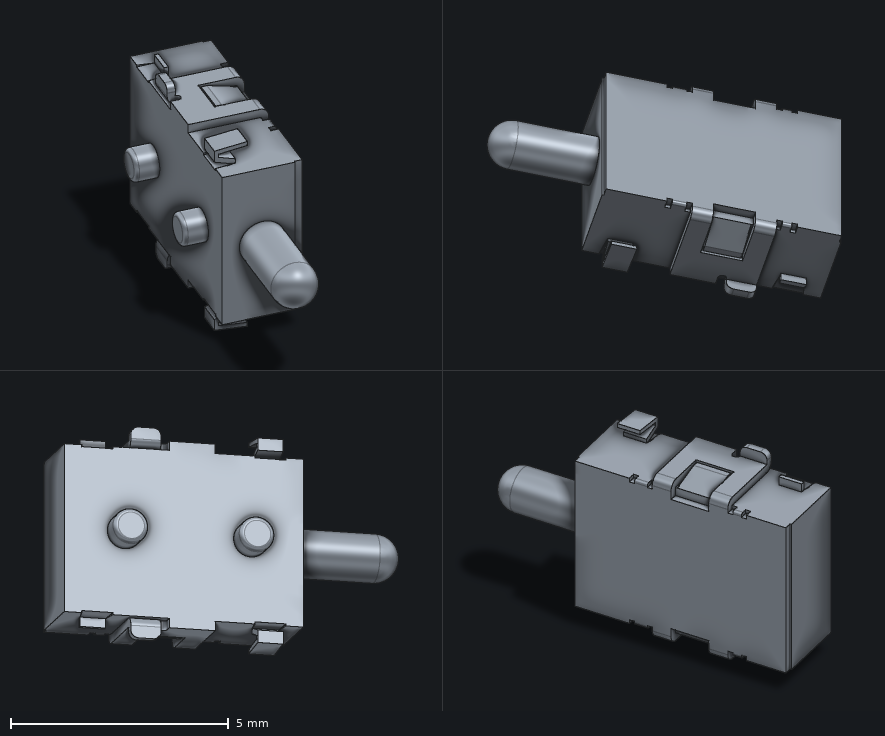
import cadquery as cq

body_length = 5.69
body_depth = 2.0
body_half_height = 1.99
lid_thickness = 0.2
lid_inset = 0.04

overall_length = 8.2
plunger_radius = 0.57
plunger_y = 1.0

peg_radius = 0.41
peg_length = 0.6
peg_edge_radius = 0.1
peg_positions = (1.435, 4.44)

shell_start = 1.58
shell_end = 3.59
sheet = 0.22
shell_half_height = body_half_height + sheet

overall_half_height = 2.5
tab_width = 0.72
tab_thickness = 0.205
tab_corner_radius = 0.18
tab_end = shell_start + tab_width
relief_width = 0.2
relief_depth = 0.295

window_start = 2.09
window_end = 3.09
window_front = 0.85
latch_gap = 0.05
latch_crest = 0.15
latch_height = 0.2

slit_width = 0.13
slit_depth = 0.1
ear_radius = 0.07
rear_ear_start = 1.09
front_ear_end = 4.2

terminal_width = 0.61
recess_depth = 0.05
recess_flare = 0.065
flat_terminal_start = 0.48
flat_terminal_front = 0.41
flat_terminal_thickness = 0.11
hook_terminal_start = 4.6
hook_length = 0.82
hook_thickness = 0.11
hook_rise = 0.07
hook_leg_length = 0.525
hook_front_low = 2.13
anchor_depth = 0.04

lid_front = body_depth - lid_thickness


def block(x0, x1, y0, y1, z0, z1):
    """Axis-aligned box between two corners."""
    return cq.Workplane("XY").box(x1 - x0, y1 - y0, z1 - z0, centered=False).translate((x0, y0, z0))


def side_prism(x0, x1, points):
    """Outline in (Y, Z) extruded along X."""
    return cq.Workplane("YZ").workplane(offset=x0).polyline(points).close().extrude(x1 - x0)


def body():
    case = block(0, body_length, 0, lid_front, -body_half_height, body_half_height)
    lid_end = body_length - lid_inset
    lid = block(lid_inset, lid_end, lid_front, body_depth, -body_half_height, body_half_height)
    return case.union(lid)


def plunger():
    straight_length = overall_length - plunger_radius - body_length
    rod = cq.Workplane("YZ", origin=(body_length, plunger_y, 0)).circle(plunger_radius)
    rod = rod.extrude(straight_length)
    tip = cq.Workplane("XY", origin=(body_length + straight_length, plunger_y, 0)).sphere(plunger_radius)
    return rod.union(tip)


def peg(x):
    pin = cq.Workplane("XZ", origin=(x, 0, 0)).circle(peg_radius).extrude(peg_length)
    return pin.faces("<Y").edges().fillet(peg_edge_radius)


def shell_side():
    """Upper side of the shell with its bent lid edge, window, relief slot and solder tab."""
    side = (
        cq.Workplane("YZ", origin=(shell_start, 0, 0))
        .moveTo(0, body_half_height)
        .lineTo(0, shell_half_height)
        .lineTo(body_depth - sheet, shell_half_height)
        .radiusArc((body_depth, body_half_height), sheet)
        .close()
        .extrude(shell_end - shell_start)
    )
    window = block(window_start, window_end, window_front, body_depth, body_half_height, shell_half_height)
    side = side.cut(window)

    relief_radius = relief_width / 2
    relief_shoulder = relief_depth - relief_radius
    relief = (
        cq.Workplane("XY", origin=(tab_end, 0, body_half_height))
        .lineTo(relief_width, 0)
        .lineTo(relief_width, relief_shoulder)
        .threePointArc((relief_radius, relief_depth), (0, relief_shoulder))
        .close()
        .extrude(sheet)
    )
    side = side.cut(relief)

    tab = block(shell_start, tab_end, 0, tab_thickness, body_half_height, overall_half_height)
    tab = tab.edges("|Y and >Z").fillet(tab_corner_radius)
    bend_corner = block(shell_start, tab_end, 0, sheet, body_half_height, shell_half_height)
    bend_round = (
        cq.Workplane("YZ", origin=(shell_start, sheet, shell_half_height)).circle(sheet).extrude(tab_width)
    )
    return side.union(tab).cut(bend_corner.cut(bend_round))


def latch():
    """Ramp that falls from a flat crest to the side of the body at the lid."""
    front = window_front + latch_gap
    crest = body_half_height + latch_height
    outline = [
        (front, body_half_height),
        (front, crest),
        (front + latch_crest, crest),
        (lid_front, body_half_height),
    ]
    return side_prism(window_start + latch_gap, window_end - latch_gap, outline)


def window_lid_cut():
    """Continuation of the window into the edge of the lid."""
    floor = body_half_height - sheet
    return block(window_start, window_end, lid_front, body_depth, floor, body_half_height)


def ear_cut(x0, x1):
    """Two slits through the lid edge with a rounded ear left between them."""
    floor = body_half_height - slit_depth
    slits = block(x0, x0 + slit_width, lid_front, body_depth, floor, body_half_height)
    slits = slits.union(block(x1 - slit_width, x1, lid_front, body_depth, floor, body_half_height))
    ear_edge = block(
        x0 + slit_width,
        x1 - slit_width,
        body_depth - ear_radius,
        body_depth,
        body_half_height - ear_radius,
        body_half_height,
    )
    ear_round = (
        cq.Workplane("YZ", origin=(x0, body_depth - ear_radius, body_half_height - ear_radius))
        .circle(ear_radius)
        .extrude(x1 - x0)
    )
    return slits.union(ear_edge.cut(ear_round))


def terminal_recess(x0, depth_along_y):
    """Flared recess in the body side that gets shallower away from the mounting face."""
    x1 = x0 + terminal_width
    plan = [(x0 - recess_flare, 0), (x1 + recess_flare, 0), (x1, depth_along_y), (x0, depth_along_y)]
    flare = (
        cq.Workplane("XY", origin=(0, 0, body_half_height - recess_depth))
        .polyline(plan)
        .close()
        .extrude(recess_depth)
    )
    wedge = side_prism(
        x0 - recess_flare,
        x1 + recess_flare,
        [(0, body_half_height - recess_depth), (0, body_half_height), (depth_along_y, body_half_height)],
    )
    return flare.intersect(wedge)


def flat_terminal():
    return block(
        flat_terminal_start,
        flat_terminal_start + terminal_width,
        flat_terminal_front,
        flat_terminal_front + flat_terminal_thickness,
        body_half_height - anchor_depth,
        shell_half_height,
    )


def hook_terminal():
    """Strip that leaves the body, slopes to the mounting face and folds back over itself."""
    front_high = overall_half_height - hook_rise
    outline = [
        (0, hook_front_low),
        (0, front_high),
        (hook_length, overall_half_height),
        (hook_length, overall_half_height - hook_thickness),
        (hook_thickness, front_high - hook_thickness),
        (hook_thickness, hook_front_low + hook_thickness),
        (hook_leg_length, body_half_height + hook_thickness),
        (hook_leg_length, body_half_height - anchor_depth),
        (hook_leg_length - hook_thickness, body_half_height),
    ]
    return side_prism(hook_terminal_start, hook_terminal_start + terminal_width, outline)


def both_sides(feature):
    return feature.union(feature.mirror("XY"))


result = body()
for recess in (
    terminal_recess(flat_terminal_start, flat_terminal_front),
    terminal_recess(hook_terminal_start, hook_leg_length),
    window_lid_cut(),
    ear_cut(rear_ear_start, shell_start),
    ear_cut(shell_end, front_ear_end),
):
    result = result.cut(both_sides(recess))

for side_feature in (shell_side(), latch(), flat_terminal(), hook_terminal()):
    result = result.union(both_sides(side_feature))

result = result.union(plunger())
for peg_x in peg_positions:
    result = result.union(peg(peg_x))